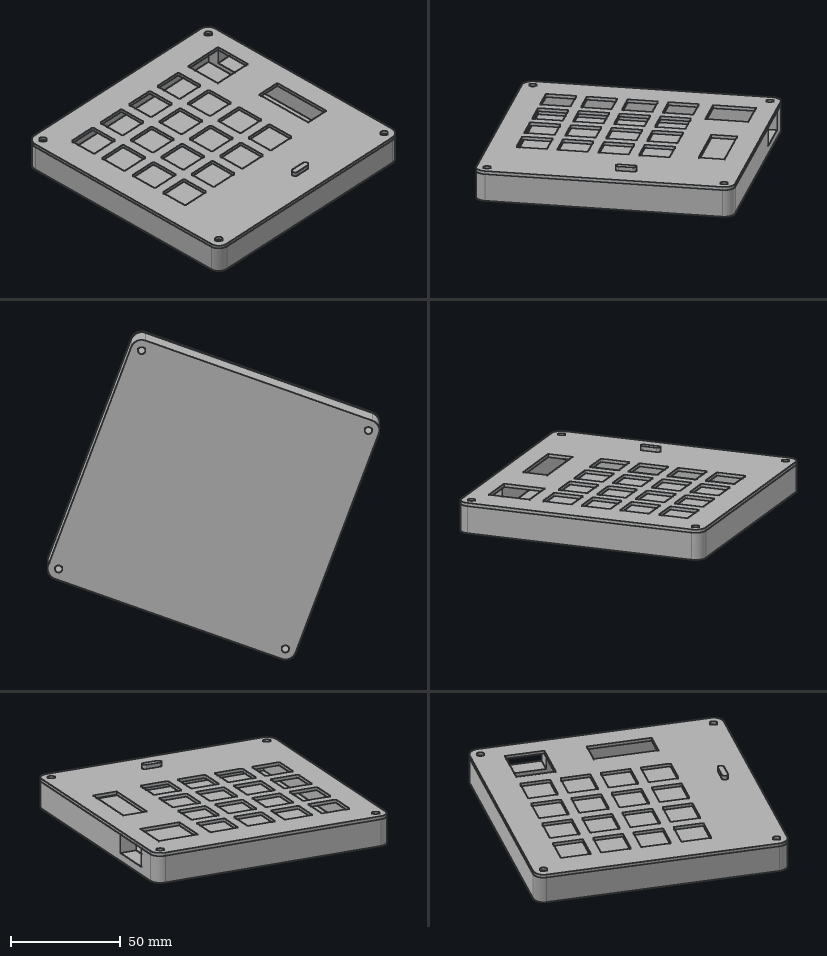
import cadquery as cq

side = 120.0
corner_radius = 5.0
base_height = 13.0
plate_thickness = 1.5
plate_top = base_height + plate_thickness

wall = 8.0
floor_thickness = plate_thickness
cavity_side = side - 2 * wall

screw_spacing = side - 2 * corner_radius
base_hole_diameter = 3.4
plate_hole_diameter = 3.5

key_count = 4
key_pitch = 19.0
key_opening = 14.2
key_corner_radius = 0.6
openings_left = -44.6
key_grid_bottom = -46.9

knob_width = 18.6
knob_depth = 19.9
knob_front = 30.6
display_width = 30.6
display_depth = 12.0
display_left = -6.4
display_front = 37.2

notch_width = 21.1
notch_sill = 4.0
notch_x = openings_left + knob_width / 2

bar_width = 2.9
bar_length = 9.7
bar_height = 2.0
bar_x = 46.7
bar_y = 7.9


def rounded_slab(bottom, thickness):
    """Square slab with rounded corners, centred on the Z axis."""
    slab = cq.Workplane("XY", origin=(0, 0, bottom)).rect(side, side).extrude(thickness)
    return slab.edges("|Z").fillet(corner_radius)


def screw_holes(diameter):
    """Four cutters, tall enough to pass through the whole case."""
    corners = cq.Workplane("XY").rect(screw_spacing, screw_spacing, forConstruction=True).vertices()
    return corners.circle(diameter / 2).extrude(plate_top)


def plate_opening(left, front, width, depth):
    """Rectangular cutter through the plate, placed by its left front corner."""
    start = cq.Workplane("XY", origin=(left, front, base_height))
    return start.rect(width, depth, centered=False).extrude(plate_thickness)


def make_base():
    """Open-topped tray that the plate closes."""
    cavity = (
        cq.Workplane("XY", origin=(0, 0, floor_thickness))
        .rect(cavity_side, cavity_side)
        .extrude(base_height - floor_thickness)
    )
    notch = (
        cq.Workplane("XY", origin=(notch_x, (side - wall) / 2, notch_sill))
        .rect(notch_width, wall)
        .extrude(base_height - notch_sill)
    )
    return rounded_slab(0, base_height).cut(cavity).cut(notch).cut(screw_holes(base_hole_diameter))


def make_plate():
    """Cover plate with its openings and the raised bar."""
    plate = rounded_slab(base_height, plate_thickness).cut(screw_holes(plate_hole_diameter))
    for column in range(key_count):
        for row in range(key_count):
            left = openings_left + column * key_pitch
            front = key_grid_bottom + row * key_pitch
            key = plate_opening(left, front, key_opening, key_opening)
            plate = plate.cut(key.edges("|Z").fillet(key_corner_radius))
    plate = plate.cut(plate_opening(openings_left, knob_front, knob_width, knob_depth))
    plate = plate.cut(plate_opening(display_left, display_front, display_width, display_depth))
    bar = (
        cq.Workplane("XY", origin=(bar_x, bar_y, plate_top))
        .slot2D(bar_length, bar_width, angle=90)
        .extrude(bar_height)
    )
    return plate.union(bar)


base = make_base()
plate = make_plate()

result = cq.Compound.makeCompound([base.val(), plate.val()])